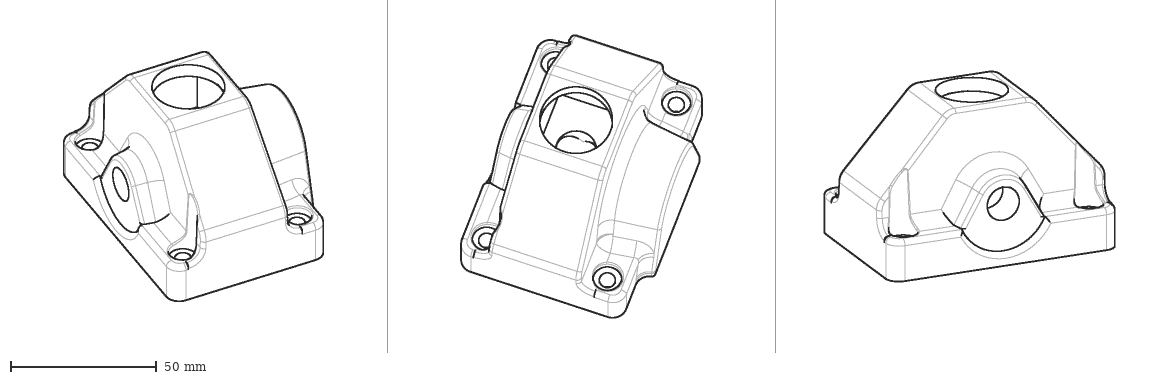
import cadquery as cq
import math

length = 86.0
depth = 60.0
flange_height = 15.05
corner_radius = 5.0
flange_edge_radius = 2.0

block_y = -2.0
height = 55.0
roof_half_width = 15.9
eave_height = 24.9
block_half_depth = 17.55
block_draft = 2.0
gable_radius = 6.0
block_edge_radius = 1.5
root_radius = 5.0

axis_z = 22.0

front_face_y = -28.0
front_boss_radius = 10.0
front_flank_angle = 30.0
front_draft = 9.5
front_edge_radius = 1.3
recess_radius = 17.2

back_face_y = 35.0
back_boss_radius = 17.9
back_flank_angle = 15.0
back_draft = 7.5
back_edge_radius = 1.3
back_knee_height = 3.4

knee_radius = 3.4
skirt_length = 8.6
front_knee_z = -12.0
back_knee_z = back_knee_height - axis_z

screw_x = 35.0
screw_y = 22.0
screw_diameter = 5.5
seat_diameter = 10.0
seat_depth = 3.0
seat_rim_radius = 0.5
screw_centres = [(x, y) for x in (-screw_x, screw_x) for y in (-screw_y, screw_y)]

mouth_diameter = 25.0
mouth_depth = 5.0
chamber_half_length = 17.7
chamber_half_depth = 12.55
chamber_floor = 30.0
front_bore_diameter = 12.0
main_bore_diameter = 14.0

tolerance = 0.001
rim_tolerance = 0.02


def front_plane(y):
    """Plane facing -Y with its origin on the shaft axis."""
    return cq.Workplane("XZ", origin=(0, y, axis_z))


def make_flange():
    return (
        cq.Workplane("XY")
        .box(length, depth, flange_height, centered=(True, True, False))
        .edges("|Z")
        .fillet(corner_radius)
    )


def make_block():
    gable = (
        cq.Workplane("XZ", origin=(0, depth, 0))
        .moveTo(-length / 2, 0)
        .lineTo(length / 2, 0)
        .lineTo(length / 2, eave_height)
        .lineTo(roof_half_width, height)
        .lineTo(-roof_half_width, height)
        .lineTo(-length / 2, eave_height)
        .close()
        .extrude(2 * depth)
        .edges("|Y and (not <Z)")
        .fillet(gable_radius)
    )
    top_half_depth = block_half_depth - height * math.tan(math.radians(block_draft))
    walls = (
        cq.Workplane("YZ", origin=(-length, 0, 0))
        .moveTo(block_y - block_half_depth, 0)
        .lineTo(block_y + block_half_depth, 0)
        .lineTo(block_y + top_half_depth, height)
        .lineTo(block_y - top_half_depth, height)
        .close()
        .extrude(2 * length)
    )
    return gable.intersect(walls)


def make_boss(face_y, radius, flank_angle, knee_z, draft, edge_radius):
    """Drafted boss from face_y to mid-block: round crown, leaning flanks, rounded knees, upright skirt."""
    lean = math.radians(flank_angle)
    crown_x = radius * math.cos(lean)
    crown_z = radius * math.sin(lean)
    skirt_x = crown_x + (crown_z - knee_z) * math.tan(lean)
    tangent_length = knee_radius * math.tan(lean / 2)
    knee_top_x = skirt_x - tangent_length * math.sin(lean)
    knee_top_z = knee_z + tangent_length * math.cos(lean)
    knee_base_z = knee_z - tangent_length
    knee_mid_x = skirt_x - knee_radius * (1 - math.cos(lean / 2))
    knee_mid_z = knee_base_z + knee_radius * math.sin(lean / 2)
    foot_z = knee_z - skirt_length
    boss = (
        front_plane(face_y)
        .moveTo(-crown_x, crown_z)
        .threePointArc((0, radius), (crown_x, crown_z))
        .lineTo(knee_top_x, knee_top_z)
        .threePointArc((knee_mid_x, knee_mid_z), (skirt_x, knee_base_z))
        .lineTo(skirt_x, foot_z)
        .lineTo(-skirt_x, foot_z)
        .lineTo(-skirt_x, knee_base_z)
        .threePointArc((-knee_mid_x, knee_mid_z), (-knee_top_x, knee_top_z))
        .close()
        .extrude(face_y - block_y, taper=-draft)
    )
    outer_face = "<Y" if face_y < block_y else ">Y"
    boss = boss.faces(outer_face).edges("not <Z").fillet(edge_radius)
    above_base = cq.Workplane("XY").box(2 * length, 2 * length, 2 * height, centered=(True, True, False))
    return boss.intersect(above_base)


def shared_edges(body, first, second):
    """Edges of body whose midpoint lies on both of the joined parts."""
    shared = []
    for edge in body.edges("not <Z").vals():
        midpoint = cq.Vertex.makeVertex(*edge.positionAt(0.5).toTuple())
        gap = max(first.val().distance(midpoint), second.val().distance(midpoint))
        if gap < tolerance:
            shared.append(edge)
    return shared


def join_with_roots(flange, block, front_boss):
    """Unite the parts and blend the block into the flange and the front boss into the block."""
    body = flange.union(block).union(front_boss)
    flange_roots = body.newObject(shared_edges(body, flange, block)).edges("|X").vals()
    flange_roots = [edge for edge in flange_roots if edge.Center().z > flange_height - tolerance]
    boss_roots = shared_edges(body, block, front_boss)
    return body.newObject(flange_roots + boss_roots).fillet(root_radius)


def flange_rim_waste(flange):
    """Slivers that widen the flange rim rounding outside the block and its roots."""
    rounded = flange.faces(">Z").edges().fillet(flange_edge_radius)
    block_half_depth_at_flange = block_half_depth - flange_height * math.tan(math.radians(block_draft))
    kept_depth = 2 * (block_half_depth_at_flange + root_radius)
    kept = cq.Workplane("XY").box(2 * length, kept_depth, height).translate((0, block_y, 0))
    return flange.cut(rounded).cut(kept)


def make_recess():
    """Round recess in the flange front; its rim is rounded over the full depth."""
    front_y = -depth / 2
    lip = front_face_y - front_y
    outer_radius = recess_radius + lip
    arc_offset = lip * math.sqrt(0.5)
    return (
        cq.Workplane("XY")
        .moveTo(0, front_face_y)
        .lineTo(recess_radius, front_face_y)
        .threePointArc((outer_radius - arc_offset, front_face_y - arc_offset), (outer_radius, front_y))
        .lineTo(outer_radius, front_y - lip)
        .lineTo(0, front_y - lip)
        .close()
        .revolve(360, (0, 0, 0), (0, 1, 0))
        .translate((0, 0, axis_z))
    )


def make_screw_hole():
    """Through hole with a spot seat that is cut upward through the block."""
    through = cq.Workplane("XY").circle(screw_diameter / 2).extrude(height)
    seat = (
        cq.Workplane("XY", origin=(0, 0, flange_height - seat_depth))
        .circle(seat_diameter / 2)
        .extrude(height)
    )
    return through.union(seat)


def seat_rim_edges(body):
    """Edges where the seat walls break out through the flange top, the roots and the block."""
    seat_z = flange_height - seat_depth
    rims = []
    for edge in body.edges("not |Z").vals():
        middle = edge.positionAt(0.5)
        for x, y in screw_centres:
            wall_gap = math.hypot(middle.x - x, middle.y - y) - seat_diameter / 2
            if abs(wall_gap) < rim_tolerance and middle.z > seat_z + tolerance:
                rims.append(edge)
    return rims


def make_chamber():
    """Round mouth, box chamber and the shaft bores, all open to each other."""
    mouth = (
        cq.Workplane("XY", origin=(0, block_y, height))
        .circle(mouth_diameter / 2)
        .extrude(-mouth_depth)
    )
    chamber = (
        cq.Workplane("XY", origin=(0, block_y, chamber_floor))
        .rect(2 * chamber_half_length, 2 * chamber_half_depth)
        .extrude(height - mouth_depth - chamber_floor)
    )
    floor_hole = (
        cq.Workplane("XY", origin=(0, block_y, axis_z))
        .circle(main_bore_diameter / 2)
        .extrude(chamber_floor - axis_z)
    )
    main_bore = (
        front_plane(block_y + chamber_half_depth)
        .circle(main_bore_diameter / 2)
        .extrude(2 * chamber_half_depth)
    )
    front_bore = (
        front_plane(block_y)
        .circle(front_bore_diameter / 2)
        .extrude(block_y - front_face_y)
    )
    return mouth.union(chamber).union(floor_hole).union(main_bore).union(front_bore)


flange = make_flange()
block = make_block()
front_boss = make_boss(
    front_face_y, front_boss_radius, front_flank_angle, front_knee_z, front_draft, front_edge_radius
)
back_boss = make_boss(
    back_face_y, back_boss_radius, back_flank_angle, back_knee_z, back_draft, back_edge_radius
)

body = join_with_roots(flange, block, front_boss)
body = body.faces(">Z").edges("|X").fillet(block_edge_radius)
body = body.cut(flange_rim_waste(flange)).cut(make_recess())

joined = body.union(back_boss)
back_roots = joined.newObject(shared_edges(joined, body, back_boss))
result = back_roots.fillet(root_radius).cut(make_chamber())

for x, y in screw_centres:
    result = result.cut(make_screw_hole().translate((x, y, 0)))
result = result.newObject(seat_rim_edges(result)).fillet(seat_rim_radius)